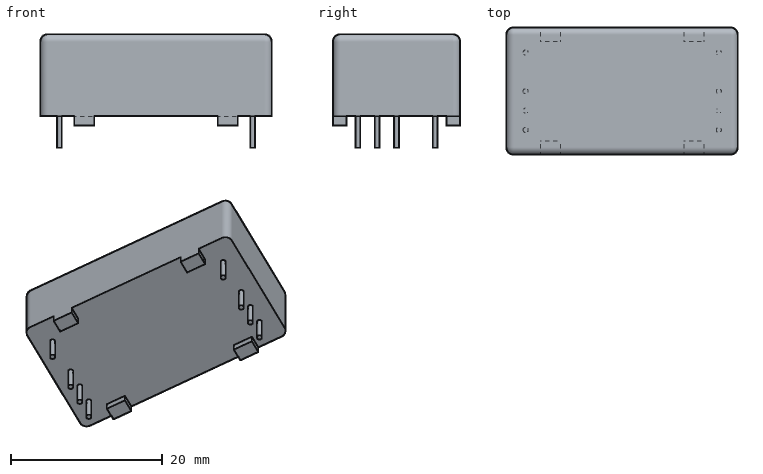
import cadquery as cq

length = 30.48
width = 16.75
overall_height = 14.97
case_height = 10.8
edge_radius = 0.98

foot_length = 2.68
foot_width = 1.83
foot_height = 1.25
foot_x = 9.45
foot_y = (width - foot_width) / 2

pin_diameter = 0.67
pin_length = overall_height - case_height
pin_x = 12.7
outer_pin_y = 5.1
pin_pitch = outer_pin_y / 2
pin_steps = [-2, -1, 0, 2]


def make_case():
    """Box with its underside at Z = 0 and all edges rounded except the bottom ones."""
    box = cq.Workplane("XY").box(length, width, case_height, centered=(True, True, False))
    return box.edges("|Z or >Z").fillet(edge_radius)


def make_feet():
    """Four rectangular feet below the case."""
    centers = [(side * foot_x, end * foot_y) for side in (-1, 1) for end in (-1, 1)]
    return cq.Workplane("XY").pushPoints(centers).rect(foot_length, foot_width).extrude(-foot_height)


def make_pins():
    """Two matching rows of round pins below the case."""
    centers = [(side * pin_x, step * pin_pitch) for side in (-1, 1) for step in pin_steps]
    return cq.Workplane("XY").pushPoints(centers).circle(pin_diameter / 2).extrude(-pin_length)


result = make_case().union(make_feet()).union(make_pins())